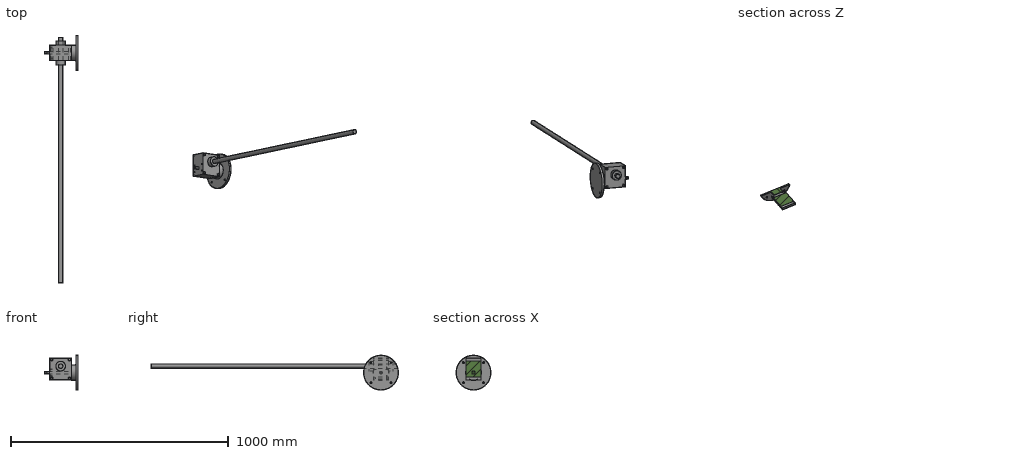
import cadquery as cq


housing_side = 100.0
housing_width = 70.0
housing_top = 67.0
collar_dia = 44.0
collar_length = 20.0
corner_hole_dia = 9.0
corner_hole_spacing_x = 81.0
corner_hole_spacing_z = 84.0
face_hole_dia = 4.1
face_hole_spacing_y = 51.0
face_hole_spacing_z = 31.0
face_hole_depth = 11.0

screw_dia = 20.0
screw_height = 30.0
screw_length = 1126.0

shaft_dia = 12.0
shaft_overhang = 25.0
centre_hole_dia = 4.1
centre_hole_depth = 11.0

flange_dia = 160.0
flange_thickness = 10.0
hub_small_dia = 70.0
hub_large_dia = 73.0
flange_hole_dia = 6.7
flange_hole_count = 4
first_hole_angle = 45
bolt_circle_dia = 130.0

overall_width = 155.0
overall_length = 1135.0

housing_left = -housing_side / 2
housing_right = housing_side / 2
housing_mid_z = housing_top - housing_side / 2
collar_end = housing_width / 2 + collar_length
shaft_end = housing_left - shaft_overhang
flange_right = shaft_end + overall_width
flange_left = flange_right - flange_thickness
screw_front = flange_dia / 2 - overall_length
screw_rear = screw_front + screw_length


def shaft_axis_cylinder(dia, start_x, end_x):
    """Solid cylinder on the shaft axis, from start_x to end_x."""
    return cq.Workplane("YZ", origin=(start_x, 0, 0)).circle(dia / 2).extrude(end_x - start_x)


def screw_axis_cylinder(dia, start_y, end_y):
    """Solid cylinder on the screw axis, from start_y to end_y."""
    return cq.Workplane("XZ", origin=(0, end_y, screw_height)).circle(dia / 2).extrude(end_y - start_y)


def make_corner_holes():
    """Four mounting holes through the housing along Y."""
    return (
        cq.Workplane("XZ", origin=(0, housing_width / 2, housing_mid_z))
        .rect(corner_hole_spacing_x, corner_hole_spacing_z, forConstruction=True)
        .vertices()
        .circle(corner_hole_dia / 2)
        .extrude(housing_width)
    )


def make_face_holes():
    """Four blind holes around the shaft in the -X face of the housing."""
    return (
        cq.Workplane("YZ", origin=(housing_left, 0, 0))
        .rect(face_hole_spacing_y, face_hole_spacing_z, forConstruction=True)
        .vertices()
        .circle(face_hole_dia / 2)
        .extrude(face_hole_depth)
    )


def make_housing():
    """Gear block with a collar on both sides, bored for the screw and the shaft."""
    block = cq.Workplane("XY", origin=(0, 0, housing_mid_z)).box(housing_side, housing_width, housing_side)
    collars = screw_axis_cylinder(collar_dia, -collar_end, collar_end)
    screw_bore = screw_axis_cylinder(screw_dia, -collar_end, collar_end)
    shaft_bore = shaft_axis_cylinder(shaft_dia, housing_left, housing_right)
    body = block.union(collars).cut(screw_bore).cut(shaft_bore)
    return body.cut(make_corner_holes()).cut(make_face_holes())


def make_screw():
    """Plain lifting screw passing through the housing and both collars."""
    return screw_axis_cylinder(screw_dia, screw_front, screw_rear)


def make_shaft():
    """Input shaft with a centre hole in its free end."""
    rod = shaft_axis_cylinder(shaft_dia, shaft_end, housing_right)
    centre_hole = shaft_axis_cylinder(centre_hole_dia, shaft_end, shaft_end + centre_hole_depth)
    return rod.cut(centre_hole)


def make_flange():
    """Motor flange whose hub widens from the housing towards the plate."""
    hub = (
        cq.Workplane("YZ", origin=(housing_right, 0, 0))
        .circle(hub_small_dia / 2)
        .workplane(offset=flange_left - housing_right)
        .circle(hub_large_dia / 2)
        .loft()
    )
    plate = shaft_axis_cylinder(flange_dia, flange_left, flange_right)
    bolt_holes = (
        cq.Workplane("YZ", origin=(flange_left, 0, 0))
        .polarArray(bolt_circle_dia / 2, first_hole_angle, 360, flange_hole_count)
        .circle(flange_hole_dia / 2)
        .extrude(flange_thickness)
    )
    return hub.union(plate).cut(bolt_holes)


housing = make_housing()
screw = make_screw()
shaft = make_shaft()
flange = make_flange()

result = cq.Compound.makeCompound([housing.val(), screw.val(), shaft.val(), flange.val()])